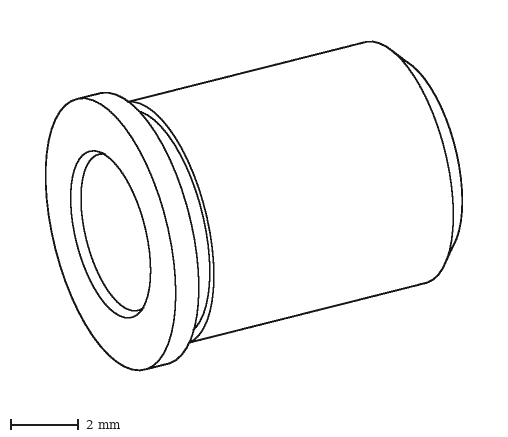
import cadquery as cq

length = 10.16
flange_diameter = 8.26
flange_thickness = 0.77
body_diameter = 7.36
body_chamfer = 0.64

undercut_diameter = 6.84
undercut_width = 0.74

bore_diameter = 4.77
lead_in_width = 0.15
lead_in_depth = 0.26


def cylinder(diameter, start, height):
    """Cylinder along +Y beginning at Y = start."""
    plane = cq.Workplane("XZ", origin=(0, start, 0))
    return plane.circle(diameter / 2).extrude(-height)


body_start = flange_thickness + undercut_width

flange = cylinder(flange_diameter, 0, flange_thickness)
undercut = cylinder(undercut_diameter, flange_thickness, undercut_width)
body = cylinder(body_diameter, body_start, length - body_start)
body = body.faces(">Y").chamfer(body_chamfer)

bushing = flange.union(undercut).union(body)
bushing = bushing.cut(cylinder(bore_diameter, 0, length))

bore_rim = bushing.faces("<Y").edges(cq.selectors.RadiusNthSelector(0))
result = bore_rim.chamfer(lead_in_depth, lead_in_width)